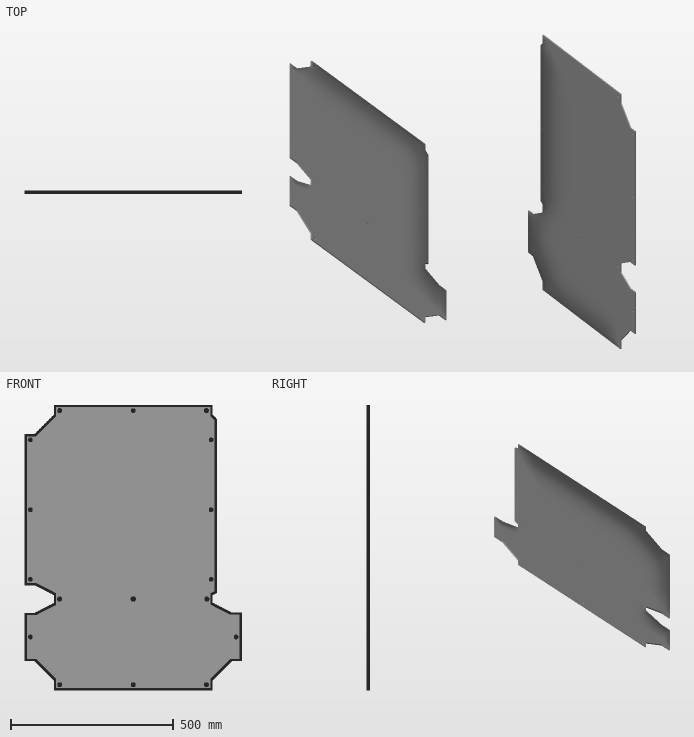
import cadquery as cq

width = 664.0
height = 874.0
thickness = 4.0
half_width = width / 2
half_height = height / 2

wing_depth = 90.0
end_corner_radius = 2.0
body_half_width = half_width - wing_depth

end_shoulder = 29.7
end_shoulder_x = half_width - end_shoulder
end_cut_z = half_height - end_shoulder
wing_end_z = half_height - wing_depth

waist_z = -158.5
waist_half_height = 15.0
waist_cut_rise = 30.5
waist_shoulder = 30.5
waist_shoulder_x = half_width - waist_shoulder
waist_top_z = waist_z + waist_half_height
waist_bottom_z = waist_z - waist_half_height
upper_wing_bottom_z = waist_top_z + waist_cut_rise
lower_wing_top_z = waist_bottom_z - waist_cut_rise

right_wing_lift = 1.0
right_waist_bottom_z = waist_bottom_z + right_wing_lift
right_wing_top_z = lower_wing_top_z + right_wing_lift

narrow_wing_depth = 13.0
narrow_wing_x = body_half_width + narrow_wing_depth
narrow_wing_top_z = end_cut_z - narrow_wing_depth
narrow_wing_bottom_z = waist_top_z + narrow_wing_depth / 2

end_hole_diameter = 7.0
side_hole_diameter = 6.4
waist_hole_diameter = 7.2
centre_hole_diameter = 8.0

edge_margin = 15.0
end_hole_margin = 14.5
right_end_hole_inset = 16.5
wing_hole_x = half_width - edge_margin
narrow_wing_hole_x = narrow_wing_x - edge_margin
body_hole_x = body_half_width - edge_margin
right_end_hole_x = body_half_width - right_end_hole_inset
end_hole_z = half_height - end_hole_margin
upper_hole_top_z = wing_end_z - edge_margin
upper_hole_bottom_z = upper_wing_bottom_z + edge_margin
upper_hole_middle_z = (upper_hole_top_z + upper_hole_bottom_z) / 2
lower_hole_z = (lower_wing_top_z - wing_end_z) / 2


def plate():
    """Flat plate with its outline of wings and cuts; the body's end corners are rounded."""
    left_side = [
        (-body_half_width, -half_height),
        (-body_half_width, -end_cut_z),
        (-end_shoulder_x, -wing_end_z),
        (-half_width, -wing_end_z),
        (-half_width, lower_wing_top_z),
        (-waist_shoulder_x, lower_wing_top_z),
        (-body_half_width, waist_bottom_z),
        (-body_half_width, waist_top_z),
        (-waist_shoulder_x, upper_wing_bottom_z),
        (-half_width, upper_wing_bottom_z),
        (-half_width, wing_end_z),
        (-end_shoulder_x, wing_end_z),
        (-body_half_width, end_cut_z),
        (-body_half_width, half_height),
    ]
    right_side = [
        (body_half_width, half_height),
        (body_half_width, end_cut_z),
        (narrow_wing_x, narrow_wing_top_z),
        (narrow_wing_x, narrow_wing_bottom_z),
        (body_half_width, waist_top_z),
        (body_half_width, right_waist_bottom_z),
        (waist_shoulder_x, right_wing_top_z),
        (half_width, right_wing_top_z),
        (half_width, -wing_end_z),
        (end_shoulder_x, -wing_end_z),
        (body_half_width, -end_cut_z),
        (body_half_width, -half_height),
    ]
    outline = cq.Workplane("XZ").polyline(left_side + right_side).close()
    blank = outline.extrude(thickness / 2, both=True)
    return blank.edges("|Y").edges(">Z or <Z").fillet(end_corner_radius)


def drill(body, centres, diameter):
    """Cut round through holes at the given (x, z) centres."""
    cutters = cq.Workplane("XZ").pushPoints(centres).circle(diameter / 2).extrude(thickness, both=True)
    return body.cut(cutters)


end_holes = [
    (x, z)
    for z in (-end_hole_z, end_hole_z)
    for x in (-body_hole_x, 0, right_end_hole_x)
]
upper_side_holes = [
    (x, z)
    for z in (upper_hole_bottom_z, upper_hole_middle_z, upper_hole_top_z)
    for x in (-wing_hole_x, narrow_wing_hole_x)
]
lower_side_holes = [(x, lower_hole_z) for x in (-wing_hole_x, wing_hole_x)]
waist_holes = [(x, waist_z) for x in (-body_hole_x, body_hole_x)]
centre_hole = [(0, waist_z)]

result = plate()
result = drill(result, end_holes, end_hole_diameter)
result = drill(result, upper_side_holes + lower_side_holes, side_hole_diameter)
result = drill(result, waist_holes, waist_hole_diameter)
result = drill(result, centre_hole, centre_hole_diameter)